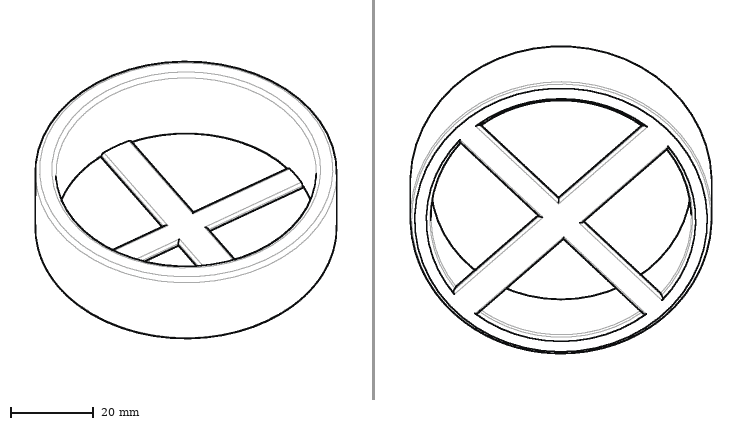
import cadquery as cq

outer_diameter = 73.0
bore_diameter = 63.0
ring_height = 22.0
rim_round = 1.0
foot_chamfer = 1.1
foot_blend = 1.0

spoke_width_x = 8.55
spoke_width_y = 6.6
spoke_thickness = 2.0
spoke_round = 0.65
spoke_length = (outer_diameter + bore_diameter) / 2


def make_blank(diameter, foot_growth):
    """Cylinder whose foot tapers to the given change of radius, with the taper blended into the wall."""
    radius = diameter / 2
    profile = [
        (0, 0),
        (radius + foot_growth, 0),
        (radius, foot_chamfer),
        (radius, ring_height),
        (0, ring_height),
    ]
    blank = cq.Workplane("XZ").polyline(profile).close().revolve(360, (0, 0, 0), (0, 1, 0))
    shoulder = cq.selectors.BoxSelector(
        (-diameter, -diameter, foot_chamfer / 2),
        (diameter, diameter, foot_chamfer * 2),
        boundingbox=True,
    )
    return blank.edges("%CIRCLE").edges(shoulder).fillet(foot_blend)


def make_ring():
    """Tube with a rounded top rim and softened chamfers inside and outside its foot."""
    outer = make_blank(outer_diameter, -foot_chamfer)
    bore = make_blank(bore_diameter, foot_chamfer)
    return outer.cut(bore).faces(">Z").edges().fillet(rim_round)


def make_spokes():
    """Flat cross with rounded upper and lower edges."""
    centered = (True, True, False)
    along_x = cq.Workplane("XY").box(spoke_length, spoke_width_x, spoke_thickness, centered=centered)
    along_y = cq.Workplane("XY").box(spoke_width_y, spoke_length, spoke_thickness, centered=centered)
    return along_x.union(along_y).faces("|Z").edges().fillet(spoke_round)


result = make_ring().union(make_spokes())